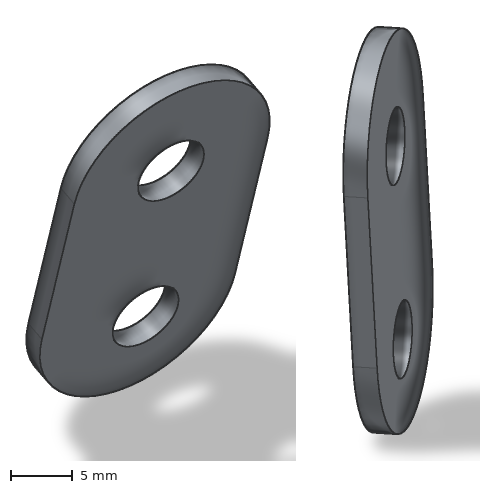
import cadquery as cq
import math

thickness = 2.02
width = 22.35
height = 34.27

end_radius = 9.6
hole_diameter = 6.4
lower_hole_shift_y = -2.47
lower_hole_shift_z = -16.83

end_y = width / 2 - end_radius
end_z = height / 2 - end_radius
center_spacing = 2 * math.hypot(end_y, end_z)
slope_angle = math.degrees(math.atan2(end_z, end_y))

hole_centers = [
    (end_y, end_z),
    (end_y + lower_hole_shift_y, end_z + lower_hole_shift_z),
]

plate = (
    cq.Workplane("YZ", origin=(-thickness / 2, 0, 0))
    .slot2D(center_spacing + 2 * end_radius, 2 * end_radius, slope_angle)
    .extrude(thickness)
)

holes = (
    cq.Workplane("YZ", origin=(-thickness / 2, 0, 0))
    .pushPoints(hole_centers)
    .circle(hole_diameter / 2)
    .extrude(thickness)
)

result = plate.cut(holes)